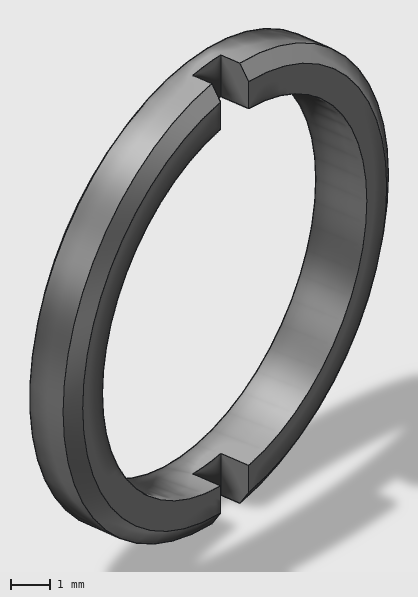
import cadquery as cq

outer_diameter = 13.59
inner_diameter = 11.04
width = 1.65

bevel_axial = 0.29
bevel_radial = 0.45

slot_width = 1.17
slot_depth = 0.9

outer_radius = outer_diameter / 2
inner_radius = inner_diameter / 2
half_width = width / 2
face_radius = outer_radius - bevel_radial


def make_ring():
    """Revolve the bevelled cross-section about the X axis."""
    section = [
        (-half_width, inner_radius),
        (-half_width, face_radius),
        (-half_width + bevel_axial, outer_radius),
        (half_width - bevel_axial, outer_radius),
        (half_width, face_radius),
        (half_width, inner_radius),
    ]
    return cq.Workplane("XY").polyline(section).close().revolve(360, (0, 0), (1, 0))


def make_slot():
    """Bar along Z that notches both the top and the bottom of the ring."""
    slot_center_x = half_width - slot_depth / 2
    return (
        cq.Workplane("XY")
        .box(slot_depth, slot_width, outer_diameter)
        .translate((slot_center_x, 0, 0))
    )


result = make_ring().cut(make_slot())